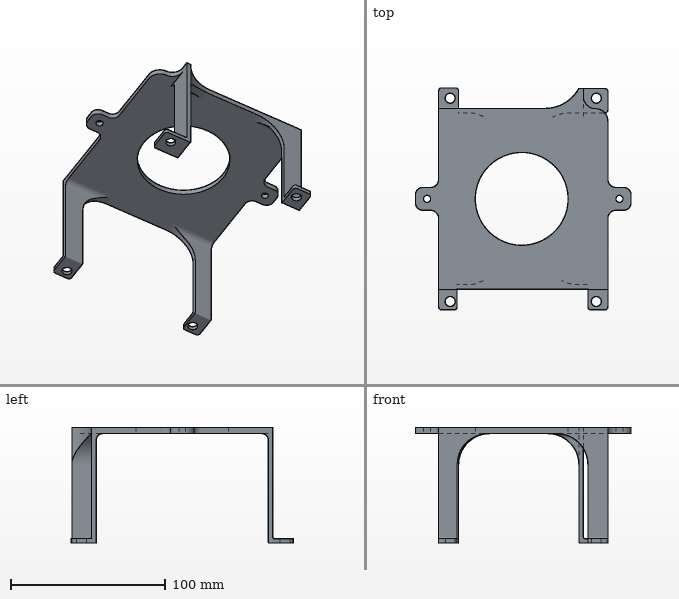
import cadquery as cq
import math

height = 75.0
total_x = 140.0
total_y = 144.0

plate_x = 109.9
plate_y = 117.4
plate_thickness = 4.0
bore_diameter = 60.0
bore_x = -1.0
half_x = plate_x / 2
half_y = plate_y / 2
plate_bottom = height - plate_thickness

tab_width = 15.0
tab_radius = 5.0
tab_hole_diameter = 4.5
tab_hole_x = 62.4

sheet = 3.0
bend_radius = 1.0
foot_corner_radius = 2.0
foot_hole_diameter = 6.3
foot_hole_x = 47.4
front_hole_y = -66.5
back_hole_y = 65.2
arch_radius = 20.0
web_fillet = 4.0
front_left_leg_width = 12.1
leg_width = 13.1

side_leg_inner = 36.0
side_leg_outer = side_leg_inner + sheet
side_leg_back = 71.5
side_leg_front = half_y - sheet
horn_radius = 25.0
notch_y = 58.5
notch_radius = 7.8
shoulder_radius = half_x - side_leg_outer - notch_radius

horn_center_y = half_y + horn_radius
horn_center_x = side_leg_inner - math.sqrt(horn_radius**2 - (horn_center_y - side_leg_back) ** 2)


def block(x0, x1, y0, y1, z0, z1):
    """Box between two opposite corners."""
    return cq.Workplane("XY").box(x1 - x0, y1 - y0, z1 - z0, centered=False).translate((x0, y0, z0))


def bent_strip(foot_end, width):
    """Leg standing at -sheet < X < 0 with a foot out to X = foot_end, from Y = 0 to width."""
    return (
        cq.Workplane("XZ")
        .moveTo(-sheet, height)
        .lineTo(-sheet, bend_radius)
        .radiusArc((bend_radius - sheet, 0), -bend_radius)
        .lineTo(foot_end, 0)
        .lineTo(foot_end, sheet)
        .lineTo(bend_radius, sheet)
        .radiusArc((0, sheet + bend_radius), bend_radius)
        .lineTo(0, height)
        .close()
        .extrude(-width)
    )


def inner_fillet(width):
    """Concave strip between the inner leg face and the underside of the plate."""
    return (
        cq.Workplane("XZ")
        .moveTo(-sheet, plate_bottom)
        .lineTo(-sheet, plate_bottom - web_fillet)
        .radiusArc((-sheet - web_fillet, plate_bottom), -web_fillet)
        .close()
        .extrude(-width)
    )


def arch(left, right):
    """Opening between two legs, rounded under the plate and cut along the whole of Y."""
    return block(left, right, -total_y, total_y, -height, plate_bottom).edges("|Y and >Z").fillet(arch_radius)


def round_foot(leg, end_face):
    return leg.faces(end_face).edges("|Z").fillet(foot_corner_radius)


def top_plate():
    plate = block(-half_x, half_x, -half_y, half_y, plate_bottom, height)
    tabs = block(-total_x / 2, total_x / 2, -tab_width / 2, tab_width / 2, plate_bottom, height)
    tabs = tabs.edges("|Z").fillet(tab_radius)
    plate = plate.union(tabs)
    root_reach = half_x + tab_radius / 2
    tab_roots = cq.selectors.BoxSelector((-root_reach, -tab_width, 0), (root_reach, tab_width, height))
    plate = plate.edges("|Z").edges(tab_roots).fillet(tab_radius)
    corner = block(side_leg_outer, half_x, half_y - leg_width, half_y, plate_bottom, height)
    return plate.cut(corner).union(back_corner())


def back_corner():
    """Rounded shoulder and notch that lead from the plate's right edge to the side leg."""
    start_y = half_y - leg_width
    return (
        cq.Workplane("XY")
        .workplane(offset=plate_bottom)
        .moveTo(side_leg_inner, start_y)
        .lineTo(half_x, start_y)
        .lineTo(half_x, notch_y - shoulder_radius)
        .radiusArc((half_x - shoulder_radius, notch_y), -shoulder_radius)
        .radiusArc((side_leg_outer, notch_y + notch_radius), notch_radius)
        .lineTo(side_leg_inner, notch_y + notch_radius)
        .close()
        .extrude(plate_thickness)
    )


def front_legs():
    legs = bent_strip(total_y / 2 - half_y, plate_x).union(inner_fillet(plate_x))
    legs = legs.rotate((0, 0, 0), (0, 0, 1), -90).translate((-half_x, -half_y, 0))
    legs = legs.cut(arch(front_left_leg_width - half_x, half_x - leg_width))
    return round_foot(legs, "<Y")


def back_left_leg():
    """Left leg and the web that joins it to the side leg."""
    width = side_leg_outer + half_x
    leg = bent_strip(total_y / 2 - half_y, width).union(inner_fillet(width))
    leg = leg.rotate((0, 0, 0), (0, 0, 1), 90).translate((side_leg_outer, half_y, 0))
    leg = leg.cut(arch(leg_width - half_x, side_leg_inner))
    strip_end = block(side_leg_inner, half_x, side_leg_front, total_y, 0, plate_bottom - arch_radius)
    return round_foot(leg.cut(strip_end), ">Y")


def side_leg():
    """Back right leg with the horn that carries it behind the plate."""
    depth = side_leg_back - side_leg_front
    leg = bent_strip(half_x - side_leg_outer, depth).translate((side_leg_outer, side_leg_front, 0))
    leg = round_foot(leg, ">X")
    horn_base = plate_bottom - arch_radius
    horn = block(horn_center_x, side_leg_outer, side_leg_front, side_leg_back, horn_base, height)
    horn = horn.cut(arch(-half_x, side_leg_inner))
    scoop = cq.Workplane("XY").center(horn_center_x, horn_center_y).circle(horn_radius).extrude(height)
    return leg.union(horn.cut(scoop))


def hole(x, y, diameter, depth):
    """Upright cutting cylinder that starts at the base."""
    return cq.Workplane("XY").center(x, y).circle(diameter / 2).extrude(depth)


result = top_plate().union(front_legs()).union(back_left_leg()).union(side_leg())
result = result.cut(hole(bore_x, 0, bore_diameter, height))
for side in (-1, 1):
    result = result.cut(hole(side * tab_hole_x, 0, tab_hole_diameter, height))
    for hole_y in (front_hole_y, back_hole_y):
        result = result.cut(hole(side * foot_hole_x, hole_y, foot_hole_diameter, sheet))